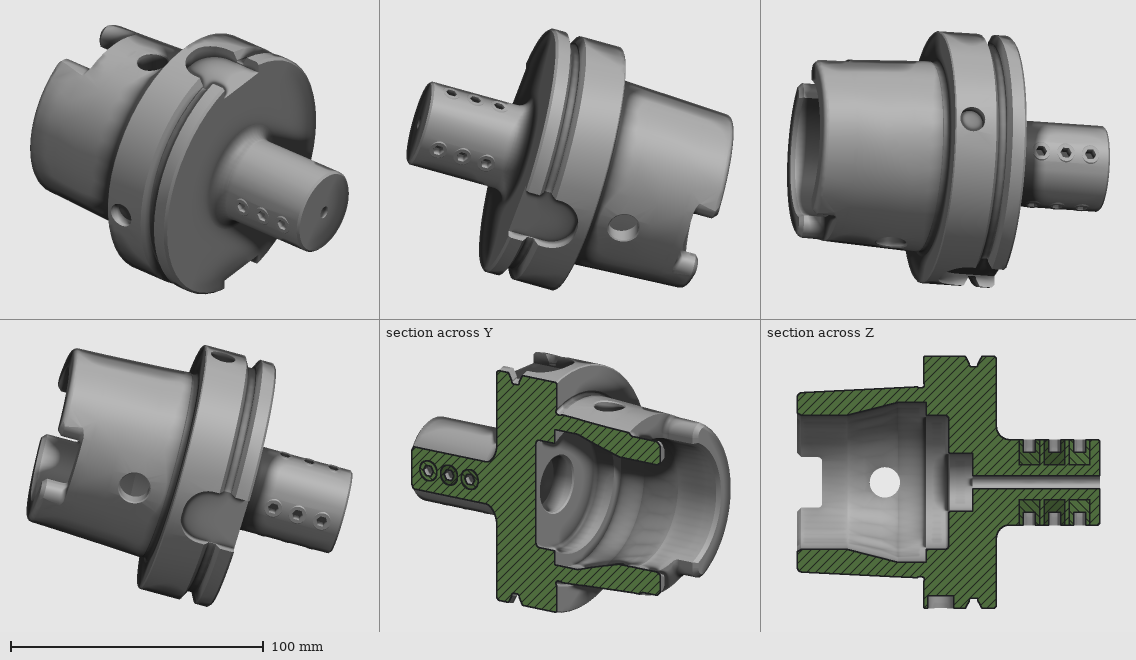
import cadquery as cq
import math

TOTAL_LENGTH = 119.9

TAPER_END_X = 47.6
TAPER_END_RADIUS = 37.9
TAPER_SLOPE = 0.05
TIP_FILLET = 2.0
NECK_RADIUS = 37.5
NECK_STEP = 0.4
NECK_FILLET = 1.1

FLANGE_RADIUS = 50.0
FLANGE_FRONT_X = 50.0
FLANGE_BACK_X = 79.0
FLANGE_FRONT_CHAMFER = 0.5
FLANGE_BACK_CHAMFER = 1.0
UNDERCUT_DEPTH = 0.4
UNDERCUT_RADIUS = 39.5

GROOVE_CENTER_X = 69.9
GROOVE_MOUTH_WIDTH = 6.6
GROOVE_FLOOR_WIDTH = 3.2
GROOVE_FLANK_RADIUS = 46.9
GROOVE_FLOOR_RADIUS = 45.9
GROOVE_FLOOR_FILLET = 0.5

NOSE_RADIUS = 17.0
NOSE_FILLET = 5.0
NOSE_CHAMFER = 0.8

BORE_RADIUS = 26.5
BORE_MOUTH_RADIUS = 27.5
BORE_MOUTH_LENGTH = 1.7
BORE_LENGTH = 20.0
CHAMBER_RADIUS = 31.5
CHAMBER_START_X = 39.9
CHAMBER_END_X = 51.0
CAVITY_FLOOR_X = 60.0
CAVITY_FLOOR_FILLET = 1.4
POCKET_RADIUS = 11.4
POCKET_MOUTH_RADIUS = 12.0
POCKET_DEPTH = 9.6
PASSAGE_RADIUS = 2.5

DRIVE_SLOT_HALF_WIDTH = 10.0
DRIVE_SLOT_FLARE_RADIUS = 5.0
DRIVE_SLOT_SHOULDER_Z = 32.0
DRIVE_SLOT_FALL_ANGLE = 15.0
DRIVE_SLOT_EDGE = 1.7
TOP_SLOT_DEPTH = 15.0
BOTTOM_SLOT_DEPTH = 10.0

CROSS_HOLE_X = 34.8
CROSS_HOLE_RADIUS = 6.0
CROSS_HOLE_CHAMFER = 0.5
CROSS_HOLE_RIM_Z = 36.0
CHIP_HOLE_X = 57.0
CHIP_HOLE_RADIUS = 5.0
CHIP_HOLE_DEPTH = 5.0

KEYWAY_WIDTH = 22.3
KEYWAY_START_X = 54.5
KEYWAY_CORNER_RADIUS = 10.0
KEYWAY_FLOOR_Z = 44.0

SCREW_RADIUS = 4.0
SCREW_CHAMFER = 0.5
SCREW_LENGTH = 10.0
SOCKET_ACROSS_FLATS = 4.0
SOCKET_DEPTH = 5.0
SCREW_FIRST_X = 92.0
SCREW_PITCH = 10.0
SCREWS_PER_ROW = 3
SCREW_ROW_ANGLES = (0, 90, 180)

ARC_MIDDLE_INSET = 1 - math.sqrt(0.5)


def body_of_revolution():
    """Taper shank, flange and nose turned about the X axis, still solid inside."""
    tip_radius = TAPER_END_RADIUS - TAPER_SLOPE * TAPER_END_X
    groove_mouth = GROOVE_MOUTH_WIDTH / 2
    groove_floor = GROOVE_FLOOR_WIDTH / 2
    fillet = GROOVE_FLOOR_FILLET
    groove_arc_inset = fillet * ARC_MIDDLE_INSET
    undercut_x = FLANGE_FRONT_X + UNDERCUT_DEPTH
    neck_arc_inset = NECK_FILLET * ARC_MIDDLE_INSET
    nose_arc_inset = NOSE_FILLET * ARC_MIDDLE_INSET
    left = GROOVE_CENTER_X - groove_floor
    right = GROOVE_CENTER_X + groove_floor
    tip_inset = TIP_FILLET * ARC_MIDDLE_INSET
    profile = (
        cq.Workplane("XY")
        .moveTo(0, 0)
        .lineTo(0, tip_radius - TIP_FILLET)
        .threePointArc(
            (tip_inset, tip_radius - tip_inset),
            (TIP_FILLET, tip_radius + TAPER_SLOPE * TIP_FILLET),
        )
        .lineTo(TAPER_END_X, TAPER_END_RADIUS)
        .lineTo(TAPER_END_X + NECK_STEP, NECK_RADIUS)
        .lineTo(undercut_x - NECK_FILLET, NECK_RADIUS)
        .threePointArc(
            (undercut_x - neck_arc_inset, NECK_RADIUS + neck_arc_inset),
            (undercut_x, NECK_RADIUS + NECK_FILLET),
        )
        .lineTo(FLANGE_FRONT_X, UNDERCUT_RADIUS)
        .lineTo(FLANGE_FRONT_X, FLANGE_RADIUS - FLANGE_FRONT_CHAMFER)
        .lineTo(FLANGE_FRONT_X + FLANGE_FRONT_CHAMFER, FLANGE_RADIUS)
        .lineTo(GROOVE_CENTER_X - groove_mouth, FLANGE_RADIUS)
        .lineTo(left, GROOVE_FLANK_RADIUS)
        .lineTo(left, GROOVE_FLOOR_RADIUS + fillet)
        .threePointArc(
            (left + groove_arc_inset, GROOVE_FLOOR_RADIUS + groove_arc_inset),
            (left + fillet, GROOVE_FLOOR_RADIUS),
        )
        .lineTo(right - fillet, GROOVE_FLOOR_RADIUS)
        .threePointArc(
            (right - groove_arc_inset, GROOVE_FLOOR_RADIUS + groove_arc_inset),
            (right, GROOVE_FLOOR_RADIUS + fillet),
        )
        .lineTo(right, GROOVE_FLANK_RADIUS)
        .lineTo(GROOVE_CENTER_X + groove_mouth, FLANGE_RADIUS)
        .lineTo(FLANGE_BACK_X - FLANGE_BACK_CHAMFER, FLANGE_RADIUS)
        .lineTo(FLANGE_BACK_X, FLANGE_RADIUS - FLANGE_BACK_CHAMFER)
        .lineTo(FLANGE_BACK_X, NOSE_RADIUS + NOSE_FILLET)
        .threePointArc(
            (FLANGE_BACK_X + nose_arc_inset, NOSE_RADIUS + nose_arc_inset),
            (FLANGE_BACK_X + NOSE_FILLET, NOSE_RADIUS),
        )
        .lineTo(TOTAL_LENGTH - NOSE_CHAMFER, NOSE_RADIUS)
        .lineTo(TOTAL_LENGTH, NOSE_RADIUS - NOSE_CHAMFER)
        .lineTo(TOTAL_LENGTH, 0)
        .close()
    )
    return profile.revolve(360, (0, 0, 0), (1, 0, 0))


def bore_cutter():
    """Stepped bore from the open end and the narrow passage through the nose."""
    floor_arc_inset = CAVITY_FLOOR_FILLET * ARC_MIDDLE_INSET
    pocket_chamfer = POCKET_MOUTH_RADIUS - POCKET_RADIUS
    profile = (
        cq.Workplane("XY")
        .moveTo(0, 0)
        .lineTo(0, BORE_MOUTH_RADIUS)
        .lineTo(BORE_MOUTH_LENGTH, BORE_RADIUS)
        .lineTo(BORE_LENGTH, BORE_RADIUS)
        .lineTo(CHAMBER_START_X, CHAMBER_RADIUS)
        .lineTo(CHAMBER_END_X, CHAMBER_RADIUS)
        .lineTo(CHAMBER_END_X, BORE_RADIUS)
        .lineTo(CAVITY_FLOOR_X - CAVITY_FLOOR_FILLET, BORE_RADIUS)
        .threePointArc(
            (CAVITY_FLOOR_X - floor_arc_inset, BORE_RADIUS - floor_arc_inset),
            (CAVITY_FLOOR_X, BORE_RADIUS - CAVITY_FLOOR_FILLET),
        )
        .lineTo(CAVITY_FLOOR_X, POCKET_MOUTH_RADIUS)
        .lineTo(CAVITY_FLOOR_X + pocket_chamfer, POCKET_RADIUS)
        .lineTo(CAVITY_FLOOR_X + POCKET_DEPTH, POCKET_RADIUS)
        .lineTo(CAVITY_FLOOR_X + POCKET_DEPTH, PASSAGE_RADIUS)
        .lineTo(TOTAL_LENGTH, PASSAGE_RADIUS)
        .lineTo(TOTAL_LENGTH, 0)
        .close()
    )
    return profile.revolve(360, (0, 0, 0), (1, 0, 0))


def drive_slot_outline(x, growth):
    """Cross section of a drive slot on the +Z side, grown sideways and downward by an amount.

    Each wall rises straight, turns outward on an arc, and leaves the arc on a falling tangent.
    """
    half = DRIVE_SLOT_HALF_WIDTH + growth
    flare = DRIVE_SLOT_FLARE_RADIUS - growth
    arc_y = DRIVE_SLOT_HALF_WIDTH + DRIVE_SLOT_FLARE_RADIUS
    arc_z = DRIVE_SLOT_SHOULDER_Z - DRIVE_SLOT_FLARE_RADIUS
    fall = math.radians(DRIVE_SLOT_FALL_ANGLE)
    diagonal = flare * math.sqrt(0.5)
    tangent_y = arc_y + flare * math.sin(fall)
    tangent_z = arc_z + flare * math.cos(fall)
    outer_y = 2 * DRIVE_SLOT_HALF_WIDTH + DRIVE_SLOT_FLARE_RADIUS
    outer_z = tangent_z - (outer_y - tangent_y) * math.tan(fall)
    base_z = BORE_RADIUS / 2
    return (
        cq.Workplane("YZ", origin=(x, 0, 0))
        .moveTo(-half, base_z)
        .lineTo(half, base_z)
        .lineTo(half, arc_z)
        .threePointArc((arc_y - diagonal, arc_z + diagonal), (tangent_y, tangent_z))
        .lineTo(outer_y, outer_z)
        .lineTo(outer_y, FLANGE_RADIUS)
        .lineTo(-outer_y, FLANGE_RADIUS)
        .lineTo(-outer_y, outer_z)
        .lineTo(-tangent_y, tangent_z)
        .threePointArc((diagonal - arc_y, arc_z + diagonal), (-half, arc_z))
        .close()
    )


def drive_slot_cutter(depth):
    """Slot with walls that flare outward on arcs, rounded at its floor and chamfered at its mouth."""
    slot = drive_slot_outline(0, 0).extrude(depth).faces(">X").edges().fillet(DRIVE_SLOT_EDGE)
    wide_end = drive_slot_outline(0, DRIVE_SLOT_EDGE).wires().val()
    narrow_end = drive_slot_outline(DRIVE_SLOT_EDGE, 0).wires().val()
    mouth = cq.Workplane(cq.Solid.makeLoft([wide_end, narrow_end], True))
    return slot.union(mouth)


def cut_cross_hole(body):
    """Hole along Z through both walls of the taper shank, with chamfered outer rims."""
    cutter = (
        cq.Workplane("XY", origin=(CROSS_HOLE_X, 0, 0))
        .circle(CROSS_HOLE_RADIUS)
        .extrude(FLANGE_RADIUS, both=True)
    )
    body = body.cut(cutter)
    reach = 2 * CROSS_HOLE_RADIUS
    for side in (1, -1):
        around_rim = cq.selectors.BoxSelector(
            (CROSS_HOLE_X - reach, -reach, side * CROSS_HOLE_RIM_Z),
            (CROSS_HOLE_X + reach, reach, side * FLANGE_RADIUS),
        )
        body = body.edges(around_rim).chamfer(CROSS_HOLE_CHAMFER)
    return body


def chip_hole_cutter():
    """Blind hole in the -Y side of the flange."""
    return (
        cq.Workplane("XZ", origin=(CHIP_HOLE_X, -FLANGE_RADIUS, 0))
        .circle(CHIP_HOLE_RADIUS)
        .extrude(-CHIP_HOLE_DEPTH)
    )


def keyway_cutter():
    """Flat-floored keyway with rounded end corners, open to the back of the flange."""
    return (
        cq.Workplane("XY", origin=(0, 0, KEYWAY_FLOOR_Z))
        .moveTo(KEYWAY_START_X, -KEYWAY_WIDTH / 2)
        .lineTo(FLANGE_BACK_X, -KEYWAY_WIDTH / 2)
        .lineTo(FLANGE_BACK_X, KEYWAY_WIDTH / 2)
        .lineTo(KEYWAY_START_X, KEYWAY_WIDTH / 2)
        .close()
        .extrude(FLANGE_RADIUS - KEYWAY_FLOOR_Z)
        .edges("|Z and <X")
        .fillet(KEYWAY_CORNER_RADIUS)
    )


def on_bottom(cutter):
    """The same cutter turned to the -Z side."""
    return cutter.rotate((0, 0, 0), (1, 0, 0), 180)


def screw_blank():
    """Screw on the -Y side at x = 0, without its socket: it also shapes its hole."""
    return (
        cq.Workplane("XZ", origin=(0, -NOSE_RADIUS, 0))
        .circle(SCREW_RADIUS)
        .extrude(-SCREW_LENGTH)
        .faces("<Y")
        .chamfer(SCREW_CHAMFER)
    )


def screw():
    """Set screw with a hexagon socket in its outer end."""
    across_corners = SOCKET_ACROSS_FLATS / math.cos(math.pi / 6)
    socket = (
        cq.Workplane("XZ", origin=(0, -NOSE_RADIUS, 0))
        .polygon(6, across_corners)
        .extrude(-SOCKET_DEPTH)
    )
    return screw_blank().cut(socket)


def in_screw_places(shape):
    """Copies of a shape at every screw position: rows on the -Y, -Z and +Y sides."""
    copies = []
    for angle in SCREW_ROW_ANGLES:
        for index in range(SCREWS_PER_ROW):
            x = SCREW_FIRST_X + index * SCREW_PITCH
            copies.append(shape.translate((x, 0, 0)).rotate((0, 0, 0), (1, 0, 0), angle))
    return copies


def make_housing():
    body = body_of_revolution().cut(bore_cutter())
    body = body.cut(drive_slot_cutter(TOP_SLOT_DEPTH))
    body = body.cut(on_bottom(drive_slot_cutter(BOTTOM_SLOT_DEPTH)))
    body = cut_cross_hole(body)
    body = body.cut(chip_hole_cutter())
    body = body.cut(keyway_cutter()).cut(on_bottom(keyway_cutter()))
    for hole in in_screw_places(screw_blank()):
        body = body.cut(hole)
    return body


housing = make_housing()
screws = in_screw_places(screw())

result = cq.Compound.makeCompound([housing.val(), *[item.val() for item in screws]])